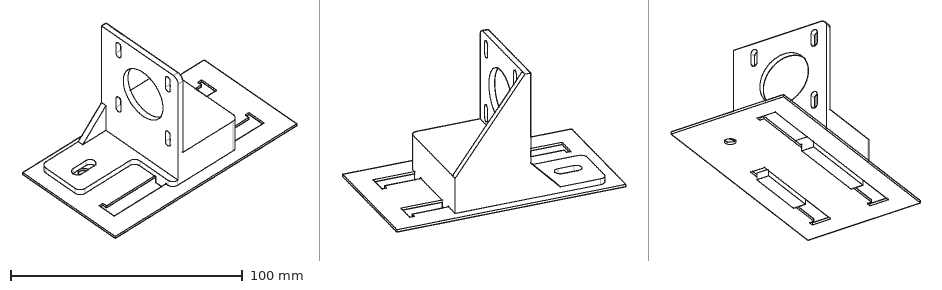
import cadquery as cq

PLATE_X = 58.1
PLATE_Y = 108.0
PLATE_T = 1.2

SLOT_LEFT = 11.1
SLOT_WIDTH = 7.1
SLOT_PITCH = 29.7
SLOT_BACK = PLATE_Y - 9.9
SLOT_FRONT = 9.0
NOTCH_WIDTH = 2.3
NOTCH_DEPTH = 2.2

BRACKET_LEFT = 4.1
BRACKET_BACK = PLATE_Y - 29.3
BRACKET_WIDTH = 48.1
BRACKET_LENGTH = 71.7
BRACKET_HEIGHT = 60.7
WALL = 2.8
CORNER_R = 3.0
BRACKET_RIGHT = BRACKET_LEFT + BRACKET_WIDTH
BRACKET_FRONT = BRACKET_BACK - BRACKET_LENGTH

STEP_Y = BRACKET_BACK - 39.0
ARM_RIGHT = BRACKET_LEFT + 24.4

WALL_FRONT = BRACKET_BACK - 35.7
WALL_BACK = WALL_FRONT + WALL
GUSSET_TOE = BRACKET_BACK - 49.6
BLOCK_HEIGHT = 17.0

MOTOR_X = BRACKET_LEFT + 26.1
MOTOR_Z = 38.0
MOTOR_BORE_D = 25.0
MOTOR_SLOT_PITCH = 31.0
MOTOR_SLOT_WIDTH = 3.0
MOTOR_SLOT_LENGTH = 8.2

SCREW_X = 17.9
SCREW_Y = 19.3
SCREW_D = 5.0
SCREW_SLOT_LENGTH = 12.5

TAB_LEFT = 11.8
TAB_WIDTH = 6.2
TAB_PROJECTION = 2.2
TAB_HEIGHT = PLATE_T + TAB_PROJECTION
LEFT_TAB_LENGTH = 29.0
RIGHT_TAB_LENGTH = BRACKET_BACK - STEP_Y

SCREW_TRAVEL = (SCREW_SLOT_LENGTH - SCREW_D) / 2
LEFT_SLOT_FRONT = BRACKET_BACK - LEFT_TAB_LENGTH - SCREW_TRAVEL


def block(x, y, z, dx, dy, dz):
    """Box with its lowest corner at (x, y, z)."""
    return cq.Workplane("XY").box(dx, dy, dz, centered=False).translate((x, y, z))


def plate_opening(left, front, back):
    """Cutter that goes through the plate between two Y positions."""
    return block(left, front, -PLATE_T, SLOT_WIDTH, back - front, PLATE_T)


def notch(slot_left, front):
    """Cutter for the entry notch on the left side of a guide slot."""
    return block(slot_left - NOTCH_WIDTH, front, -PLATE_T, NOTCH_WIDTH, NOTCH_DEPTH, PLATE_T)


def make_plate():
    plate = block(0, 0, -PLATE_T, PLATE_X, PLATE_Y, PLATE_T)
    right_slot_left = SLOT_LEFT + SLOT_PITCH
    for left, front in ((SLOT_LEFT, LEFT_SLOT_FRONT), (right_slot_left, SLOT_FRONT)):
        plate = plate.cut(plate_opening(left, front, SLOT_BACK))
        plate = plate.cut(notch(left, SLOT_BACK - NOTCH_DEPTH))
    plate = plate.cut(notch(right_slot_left, SLOT_FRONT))
    screw_hole = (
        cq.Workplane("XY").center(SCREW_X, SCREW_Y).circle(SCREW_D / 2).extrude(-PLATE_T)
    )
    return plate.cut(screw_hole)


def make_foot():
    outline = [
        (BRACKET_LEFT, BRACKET_BACK),
        (BRACKET_RIGHT, BRACKET_BACK),
        (BRACKET_RIGHT, STEP_Y),
        (ARM_RIGHT, STEP_Y),
        (ARM_RIGHT, BRACKET_FRONT),
        (BRACKET_LEFT, BRACKET_FRONT),
    ]
    foot = cq.Workplane("XY").polyline(outline).close().extrude(WALL)
    sharp_corner = cq.selectors.NearestToPointSelector((BRACKET_LEFT, BRACKET_BACK, WALL / 2))
    foot = foot.edges(cq.StringSyntaxSelector("|Z") - sharp_corner).fillet(CORNER_R)
    screw_slot = (
        cq.Workplane("XY").center(SCREW_X, SCREW_Y)
        .slot2D(SCREW_SLOT_LENGTH, SCREW_D, 90).extrude(WALL)
    )
    return foot.cut(screw_slot)


def make_motor_wall():
    wall = block(BRACKET_LEFT, WALL_FRONT, 0, BRACKET_WIDTH, WALL, BRACKET_HEIGHT)
    wall = wall.edges("|Y and >X and >Z").fillet(CORNER_R)
    motor_face = cq.Workplane("XZ", origin=(MOTOR_X, WALL_BACK, MOTOR_Z))
    bore = motor_face.circle(MOTOR_BORE_D / 2).extrude(WALL)
    slots = (
        motor_face.rarray(MOTOR_SLOT_PITCH, MOTOR_SLOT_PITCH, 2, 2)
        .slot2D(MOTOR_SLOT_LENGTH, MOTOR_SLOT_WIDTH, 90).extrude(WALL)
    )
    return wall.cut(bore).cut(slots)


def make_gusset():
    profile = [
        (BRACKET_BACK, 0),
        (BRACKET_BACK, BLOCK_HEIGHT),
        (WALL_BACK, BRACKET_HEIGHT),
        (WALL_FRONT, BRACKET_HEIGHT),
        (WALL_FRONT, BLOCK_HEIGHT),
        (GUSSET_TOE, WALL),
        (GUSSET_TOE, 0),
    ]
    return cq.Workplane("YZ", origin=(BRACKET_LEFT, 0, 0)).polyline(profile).close().extrude(WALL)


def make_back_block():
    """Solid block behind the motor wall, as high as the low end of the gusset."""
    depth = BRACKET_BACK - WALL_BACK
    back_block = block(BRACKET_LEFT, WALL_BACK, 0, BRACKET_WIDTH, depth, BLOCK_HEIGHT)
    return back_block.edges("|Z and >X and >Y").fillet(CORNER_R)


def make_tab(left, length):
    return block(left, BRACKET_BACK - length, -TAB_HEIGHT, TAB_WIDTH, length, TAB_HEIGHT)


def make_bracket():
    bracket = make_foot().union(make_motor_wall()).union(make_gusset()).union(make_back_block())
    bracket = bracket.union(make_tab(TAB_LEFT, LEFT_TAB_LENGTH))
    return bracket.union(make_tab(TAB_LEFT + SLOT_PITCH, RIGHT_TAB_LENGTH))


plate = make_plate()
bracket = make_bracket()

result = cq.Compound.makeCompound([plate.val(), bracket.val()])